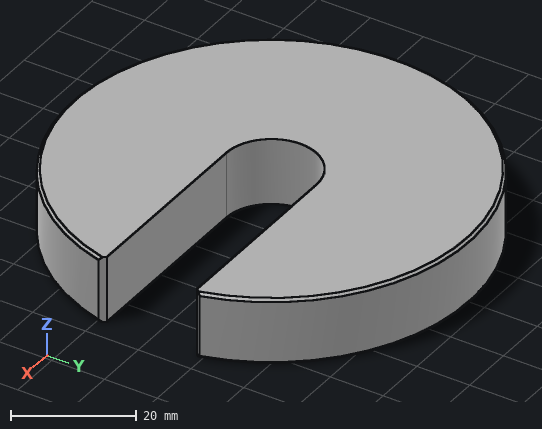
import cadquery as cq

disc_diameter = 74.9
thickness = 12.5
rim_chamfer = 0.5
slot_width = 17.0
mouth_chamfer = 1.1

disc_radius = disc_diameter / 2
slot_radius = slot_width / 2


def make_disc():
    """Plain round plate standing on the XY plane."""
    return cq.Workplane("XY").circle(disc_radius).extrude(thickness)


def make_slot():
    """Through slot with a round end on the disc axis, open toward +X."""
    round_end = cq.Workplane("XY").circle(slot_radius).extrude(thickness)
    channel = (
        cq.Workplane("XY")
        .rect(disc_diameter, slot_width)
        .extrude(thickness)
        .translate((disc_radius, 0, 0))
    )
    return round_end.union(channel)


slotted_disc = make_disc().cut(make_slot())
slotted_disc = slotted_disc.edges("|Z").edges(">X").chamfer(mouth_chamfer)

bevelled_disc = make_disc().faces("<Z or >Z").edges().chamfer(rim_chamfer)
result = slotted_disc.intersect(bevelled_disc)